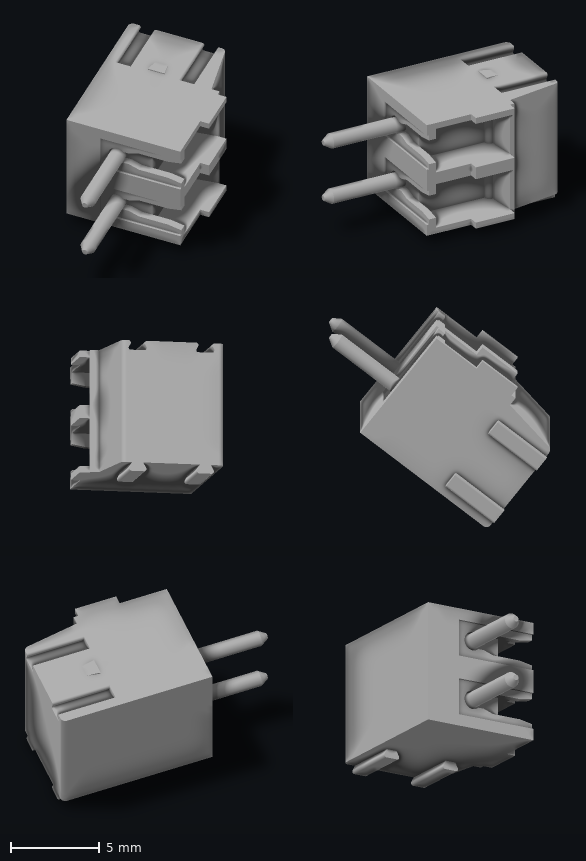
import cadquery as cq
import math


poles = 2
housing_width = 7.0
housing_height = 7.0
housing_depth = 9.13
overall_depth = 13.65
pole_pitch = housing_height / poles
pole_heights = [(pole + 0.5) * pole_pitch for pole in range(poles)]
corner_radius = 0.3

taper_length = 3.47
shoulder_y = housing_depth - taper_length
taper_start_x = 6.5
taper_end_x = 5.9

wall_thickness = 0.75
tab_reach = 0.55
tab_front_y = 2.87
tab_back_y = 5.38

recess_left_x = 2.06
recess_height = 2.14
recess_depth = 0.15

slot_depth = 0.6
slot_neck_half = 0.4
slot_middle_half = 0.6
slot_mouth_half = 0.75
slot_neck_end_x = 3.78
slot_middle_start_x = 4.4
slot_flare_x = 6.18

cavity_left_x = 5.02
cavity_height = pole_pitch - wall_thickness
step_width = 0.04
crest_radius = 0.29
crest_drop = 0.08
floor_flat_end_x = 5.68
floor_slope = math.radians(8)

pin_x = 3.06
pin_radius = 0.45
pin_tip_radius = 0.16
pin_tip_length = 0.46
pin_reach = overall_depth - housing_depth
pin_hole_radius = 0.55

rail_centers = (1.08, 4.98)
rail_length = taper_length
rail_neck_half = 0.31
rail_height = 0.5
rail_rounding = 0.14
rail_flank_angle = math.radians(28)
groove_depth = 0.55
groove_rounding = 0.11
groove_lip_radius = 0.14

bump_front_y = 5.79
bump_crest_y = 6.09
bump_back_y = 6.58
bump_front_half = 0.5
bump_back_half = 0.38
bump_height = 0.07


def housing_block():
    outline = [
        (0, 0),
        (housing_width, 0),
        (housing_width, shoulder_y),
        (taper_start_x, shoulder_y),
        (taper_end_x, housing_depth),
        (0, housing_depth),
    ]
    block = cq.Workplane("XY").polyline(outline).close().extrude(housing_height)
    return block.edges("|Z").edges(">Y").fillet(corner_radius)


def side_tabs():
    tabs = cq.Workplane("XY")
    for wall in range(poles + 1):
        bottom = max(wall * pole_pitch - wall_thickness / 2, 0)
        top = min(wall * pole_pitch + wall_thickness / 2, housing_height)
        tab = cq.Workplane("XY").box(
            tab_reach, tab_back_y - tab_front_y, top - bottom, centered=False
        )
        tabs = tabs.add(tab.translate((housing_width, tab_front_y, bottom)))
    return tabs.combine()


def pole_recess(z):
    recess = cq.Workplane("XY").box(
        housing_width - recess_left_x, recess_depth, recess_height, centered=(False, False, True)
    )
    return recess.translate((recess_left_x, 0, z))


def pole_slot(z):
    upper = [
        (pin_x, slot_neck_half),
        (slot_neck_end_x, slot_neck_half),
        (slot_middle_start_x, slot_middle_half),
        (slot_flare_x, slot_middle_half),
        (housing_width, slot_mouth_half),
    ]
    lower = [(x, -half) for x, half in reversed(upper)]
    slot = cq.Workplane("XZ").polyline(upper + lower).close().extrude(-slot_depth)
    hole = cq.Workplane("XZ").center(pin_x, 0).circle(pin_hole_radius).extrude(-slot_depth)
    return slot.union(hole).translate((0, 0, z))


def pole_cavity(z):
    crest_start_x = cavity_left_x + step_width
    crest_end_x = crest_start_x + crest_radius
    floor_flat_y = tab_back_y - (housing_width - floor_flat_end_x) * math.tan(floor_slope)
    crest_end_y = floor_flat_y - crest_drop
    crest_start_y = crest_end_y - crest_radius
    crest_middle = (
        crest_start_x + crest_radius * math.sin(math.pi / 4),
        crest_end_y - crest_radius * math.cos(math.pi / 4),
    )
    return (
        cq.Workplane("XY")
        .moveTo(cavity_left_x, slot_depth)
        .lineTo(housing_width, slot_depth)
        .lineTo(housing_width, tab_back_y)
        .lineTo(floor_flat_end_x, floor_flat_y)
        .lineTo(crest_end_x, floor_flat_y)
        .lineTo(crest_end_x, crest_end_y)
        .threePointArc(crest_middle, (crest_start_x, crest_start_y))
        .lineTo(cavity_left_x, crest_start_y)
        .close()
        .extrude(cavity_height)
        .translate((0, 0, z - cavity_height / 2))
    )


def pin(z):
    length = pin_reach + slot_depth
    shaft = cq.Workplane("XZ", origin=(pin_x, slot_depth, z)).circle(pin_radius).extrude(length)
    return shaft.faces("<Y").chamfer(pin_tip_length, pin_radius - pin_tip_radius)


def dovetail(x, top_z, height, rounding):
    base_half = rail_neck_half + height * math.tan(rail_flank_angle)
    outline = [
        (x - rail_neck_half, top_z),
        (x + rail_neck_half, top_z),
        (x + base_half, top_z - height),
        (x - base_half, top_z - height),
    ]
    bar = cq.Workplane("XZ", origin=(0, shoulder_y, 0)).polyline(outline).close().extrude(-rail_length)
    return bar.edges("|Y").edges("<Z").fillet(rounding)


def groove_lips(part):
    for x in rail_centers:
        for side in (-1, 1):
            lip = cq.selectors.NearestToPointSelector(
                (x + side * rail_neck_half, shoulder_y + rail_length / 2, housing_height)
            )
            part = part.edges(lip).fillet(groove_lip_radius)
    return part


def latch_bump():
    plan = [
        (pin_x - bump_front_half, bump_front_y),
        (pin_x + bump_front_half, bump_front_y),
        (pin_x + bump_back_half, bump_back_y),
        (pin_x - bump_back_half, bump_back_y),
    ]
    wedge = [
        (bump_front_y, 0),
        (bump_back_y, 0),
        (bump_crest_y, bump_height),
        (bump_front_y, bump_height),
    ]
    plan_solid = cq.Workplane("XY").polyline(plan).close().extrude(bump_height)
    wedge_solid = cq.Workplane("YZ").polyline(wedge).close().extrude(housing_width)
    return plan_solid.intersect(wedge_solid).translate((0, 0, housing_height))


result = housing_block()
for rail_x in rail_centers:
    result = result.cut(dovetail(rail_x, housing_height, groove_depth, groove_rounding))
result = groove_lips(result)
for rail_x in rail_centers:
    result = result.union(dovetail(rail_x, 0, rail_height, rail_rounding))
result = result.union(side_tabs()).union(latch_bump())
for pole_z in pole_heights:
    result = result.cut(pole_recess(pole_z))
    result = result.cut(pole_slot(pole_z))
    result = result.cut(pole_cavity(pole_z))
    result = result.union(pin(pole_z))